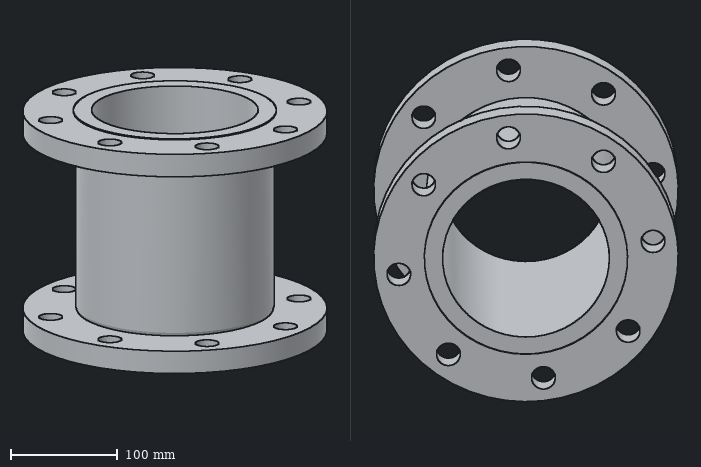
import cadquery as cq

flange_diameter = 285.0
overall_length = 216.0
flange_thickness = 22.0

face_diameter = 190.0
face_height = 1.0

body_diameter = 186.0
bevel_depth = 1.0
bevel_length = 3.0

bore_diameter = 156.0

bolt_count = 8
bolt_circle_diameter = 240.0
bolt_hole_diameter = 22.0

half_length = overall_length / 2
flange_outer_z = half_length - face_height
flange_inner_z = flange_outer_z - flange_thickness
bevel_end_z = flange_inner_z - bevel_length

bore_radius = bore_diameter / 2
body_radius = body_diameter / 2
neck_radius = body_radius - bevel_depth
flange_radius = flange_diameter / 2
face_radius = face_diameter / 2


def make_spool():
    """Revolve the full wall section, on the -X side, about Z."""
    upper_outline = [
        (-body_radius, bevel_end_z),
        (-neck_radius, flange_inner_z),
        (-flange_radius, flange_inner_z),
        (-flange_radius, flange_outer_z),
        (-face_radius, flange_outer_z),
        (-face_radius, half_length),
        (-bore_radius, half_length),
    ]
    lower_outline = [(x, -z) for x, z in reversed(upper_outline)]
    section = cq.Workplane("XZ").polyline(upper_outline + lower_outline).close()
    return section.revolve(360, (0, 0, 0), (0, 1, 0))


def make_bolt_holes():
    """Bolt holes through both flanges, straddling the X and Y axes."""
    return (
        cq.Workplane("XY")
        .workplane(offset=-half_length)
        .polarArray(bolt_circle_diameter / 2, 180 / bolt_count, 360, bolt_count)
        .circle(bolt_hole_diameter / 2)
        .extrude(overall_length)
    )


result = make_spool().cut(make_bolt_holes())